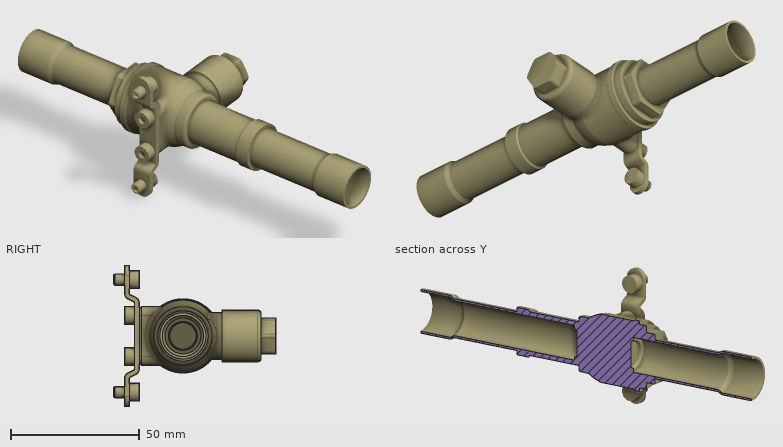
import cadquery as cq
import math


inlet_end = -70.9
outlet_end = inlet_end + 158.9
socket_length = 14.3
taper_length = 1.9
tube_dia = 16.0
tube_bore_dia = 14.0
socket_dia = 18.0
socket_bore_dia = tube_dia

hex_start = -24.6
collar_start = -20.3
flange_start = -17.0
barrel_start = -14.3
shoulder_start = 1.3
shoulder_end = 7.3
body_end = 12.2
band_start = 35.8
band_end = 41.8

union_hex_flats = 20.5
hex_corner_radius = 1.5
collar_dia = 26.0
flange_dia = 28.9
flange_chamfer = 0.3
barrel_dia = 28.0
shoulder_mid_dia = 26.0
body_end_dia = 22.7
body_end_radius = 1.1
band_dia = 19.5
band_chamfer = 0.5

bore_end = 14.3
port_dia = 11.3
port_floor_dia = 10.3
port_depth = 1.3

neck_dia = 18.3
cap_start = 15.3
cap_end = 30.5
cap_hex_end = 36.2
cap_dia = 20.2
cap_edge_radius = 1.5
cap_hex_flats = 14.0
cap_hex_face_dia = 15.0
cap_hex_chamfer_slope = math.tan(math.radians(30))

pad_width = 7.0
pad_pitch = 16.0
pad_face = -16.2
pad_step = 0.5
root_radius = 1.9
bracket_back = -17.0
bracket_thickness = 1.9
bracket_offset = 3.8
bracket_width = 8.0
bracket_height = 55.0
inner_bend_z = 12.9
outer_bend_z = 16.5
bend_inner_radius = 0.5

fastener_dia = 7.0
head_height = 3.8
screw_recess_dia = 3.3
stud_z = 22.0
stud_dia = 4.5
stud_end = -27.0
stud_tip_dia = 3.5
stud_recess_width = 2.4
recess_depth = 1.6


def disc_x(start, end, diameter):
    """Solid cylinder along X."""
    return cq.Workplane("YZ", origin=(start, 0, 0)).circle(diameter / 2).extrude(end - start)


def disc_y(start, end, diameter, z=0):
    """Solid cylinder along Y at height z."""
    length = abs(end - start)
    return cq.Workplane("XZ", origin=(0, max(start, end), z)).circle(diameter / 2).extrude(length)


def hex_prism(plane, flats, height):
    """Hexagonal prism with a corner on the local x axis."""
    corners = flats / math.cos(math.pi / 6)
    return plane.polygon(6, corners).extrude(height)


def revolve_x(profile):
    """Turn an (x, radius) profile about the X axis."""
    return profile.close().revolve(360, (0, 0, 0), (1, 0, 0))


def make_valve_core():
    """Barrel with its domed shoulder, joined to the stem neck and the mounting pad by fillets."""
    barrel_r = barrel_dia / 2
    end_r = body_end_dia / 2
    shoulder_mid = ((shoulder_start + shoulder_end) / 2, shoulder_mid_dia / 2)
    profile = (
        cq.Workplane("XY")
        .moveTo(barrel_start, 0)
        .lineTo(barrel_start, barrel_r)
        .lineTo(shoulder_start, barrel_r)
        .threePointArc(shoulder_mid, (shoulder_end, end_r))
        .lineTo(body_end, end_r)
        .lineTo(body_end, 0)
    )
    core = revolve_x(profile).faces(">X").edges().fillet(body_end_radius)
    neck = disc_y(0, cap_end - cap_edge_radius, neck_dia)
    pad = cq.Workplane("XZ").slot2D(pad_pitch + pad_width, pad_width, 90).extrude(-pad_face)
    core = core.union(neck).union(pad)
    return core.edges("%BSPLINE").fillet(root_radius)


def make_pipe_line():
    """Sockets, tubes, band and collars outside the barrel."""
    tube_r = tube_dia / 2
    socket_r = socket_dia / 2
    profile = (
        cq.Workplane("XY")
        .moveTo(inlet_end, 0)
        .lineTo(inlet_end, socket_r)
        .lineTo(inlet_end + socket_length, socket_r)
        .lineTo(inlet_end + socket_length + taper_length, tube_r)
        .lineTo(outlet_end - socket_length - taper_length, tube_r)
        .lineTo(outlet_end - socket_length, socket_r)
        .lineTo(outlet_end, socket_r)
        .lineTo(outlet_end, 0)
    )
    line = revolve_x(profile)
    band = disc_x(band_start, band_end, band_dia).faces("<X").edges().chamfer(band_chamfer)
    flange = disc_x(flange_start, barrel_start, flange_dia).faces(">X").edges().chamfer(flange_chamfer)
    hex_plane = cq.Workplane("YZ", origin=(hex_start, 0, 0))
    union_hex = hex_prism(hex_plane, union_hex_flats, collar_start - hex_start)
    union_hex = union_hex.edges("|X").fillet(hex_corner_radius)
    line = line.union(disc_x(body_end, band_start, socket_dia)).union(band)
    return line.union(union_hex).union(disc_x(collar_start, flange_start, collar_dia)).union(flange)


def make_cap():
    """Round stem cap with a hexagonal head whose corners are chamfered on top."""
    cap = disc_y(cap_start, cap_end, cap_dia).faces(">Y").edges().fillet(cap_edge_radius)
    cap_hex_height = cap_hex_end - cap_end
    head_plane = cq.Workplane("XZ", origin=(0, cap_hex_end, 0))
    head = hex_prism(head_plane, cap_hex_flats, cap_hex_height).edges("|Y").fillet(hex_corner_radius)
    face_r = cap_hex_face_dia / 2
    corner_cone = (
        cq.Workplane("XY")
        .moveTo(0, cap_hex_end)
        .lineTo(face_r, cap_hex_end)
        .lineTo(face_r + cap_hex_height / cap_hex_chamfer_slope, cap_end)
        .lineTo(0, cap_end)
        .close()
        .revolve(360, (0, 0, 0), (0, 1, 0))
    )
    return cap.union(head.intersect(corner_cone))


def make_bracket_half(side):
    """Half of the joggled bracket strip; side is +1 for the upper half, -1 for the lower half."""
    t = bracket_thickness
    inner_r = bend_inner_radius
    outer_r = inner_r + t
    front = bracket_back - t
    end_back = bracket_back - bracket_offset
    tip = bracket_height / 2

    first_y = front - inner_r
    second_y = end_back + inner_r
    rise = first_y - second_y
    run = outer_bend_z - inner_bend_z
    bend = math.atan2(rise, run) + math.asin((inner_r + outer_r) / math.hypot(rise, run))

    def first_bend(radius, angle):
        """Point on the bend next to the middle of the bracket."""
        y = first_y + radius * math.cos(angle)
        return (y, side * (inner_bend_z + radius * math.sin(angle)))

    def second_bend(radius, angle):
        """Point on the bend next to the end of the bracket."""
        y = second_y - radius * math.cos(angle)
        return (y, side * (outer_bend_z - radius * math.sin(angle)))

    return (
        cq.Workplane("YZ", origin=(-bracket_width / 2, 0, 0))
        .moveTo(bracket_back, 0)
        .lineTo(*first_bend(outer_r, 0))
        .threePointArc(first_bend(outer_r, bend / 2), first_bend(outer_r, bend))
        .lineTo(*second_bend(inner_r, bend))
        .threePointArc(second_bend(inner_r, bend / 2), second_bend(inner_r, 0))
        .lineTo(end_back, side * tip)
        .lineTo(end_back - t, side * tip)
        .lineTo(*second_bend(outer_r, 0))
        .threePointArc(second_bend(outer_r, bend / 2), second_bend(outer_r, bend))
        .lineTo(*first_bend(inner_r, bend))
        .threePointArc(first_bend(inner_r, bend / 2), first_bend(inner_r, 0))
        .lineTo(front, 0)
        .close()
        .extrude(bracket_width)
    )


def make_bracket():
    """Joggled strip with full-round ends, on a slightly smaller spacer above the pad."""
    strip = make_bracket_half(1).union(make_bracket_half(-1))
    outline = cq.Workplane("XZ").slot2D(bracket_height, bracket_width, 90).extrude(-stud_end)
    spacer_width = pad_width - 2 * pad_step
    spacer = (
        cq.Workplane("XZ", origin=(0, pad_face, 0))
        .slot2D(pad_pitch + spacer_width, spacer_width, 90)
        .extrude(pad_face - bracket_back)
    )
    return strip.intersect(outline).union(spacer)


def make_screw(z):
    """Pad screw head with a round recess."""
    seat = bracket_back - bracket_thickness
    top = seat - head_height
    return disc_y(seat, top, fastener_dia, z).cut(disc_y(top + recess_depth, top, screw_recess_dia, z))


def make_stud(z):
    """Stud through the bracket end, with its head behind and a square recess in its tip."""
    head = disc_y(bracket_back, bracket_back - head_height, fastener_dia, z)
    tip_chamfer = (stud_dia - stud_tip_dia) / 2
    shank = disc_y(bracket_back, stud_end, stud_dia, z).faces("<Y").edges().chamfer(tip_chamfer)
    recess = (
        cq.Workplane("XZ", origin=(0, stud_end + recess_depth, z))
        .rect(stud_recess_width, stud_recess_width)
        .extrude(recess_depth)
    )
    return head.union(shank).cut(recess)


def make_bore(pipe_end):
    """Bore from one pipe end to the ball: socket, taper, tube bore and the blind ball port."""
    inward = -math.copysign(1, pipe_end)
    socket_floor = pipe_end + inward * socket_length
    port_mouth = -inward * bore_end
    port_floor = port_mouth + inward * port_depth
    profile = (
        cq.Workplane("XY")
        .moveTo(pipe_end, 0)
        .lineTo(pipe_end, socket_bore_dia / 2)
        .lineTo(socket_floor, socket_bore_dia / 2)
        .lineTo(socket_floor + inward * taper_length, tube_bore_dia / 2)
        .lineTo(port_mouth, tube_bore_dia / 2)
        .lineTo(port_mouth, port_dia / 2)
        .lineTo(port_floor, port_floor_dia / 2)
        .lineTo(port_floor, 0)
    )
    return revolve_x(profile)


result = make_valve_core().union(make_pipe_line())
result = result.cut(make_bore(inlet_end)).cut(make_bore(outlet_end))
result = result.union(make_cap()).union(make_bracket())
for side in (1, -1):
    result = result.union(make_screw(side * pad_pitch / 2))
    result = result.union(make_stud(side * stud_z))